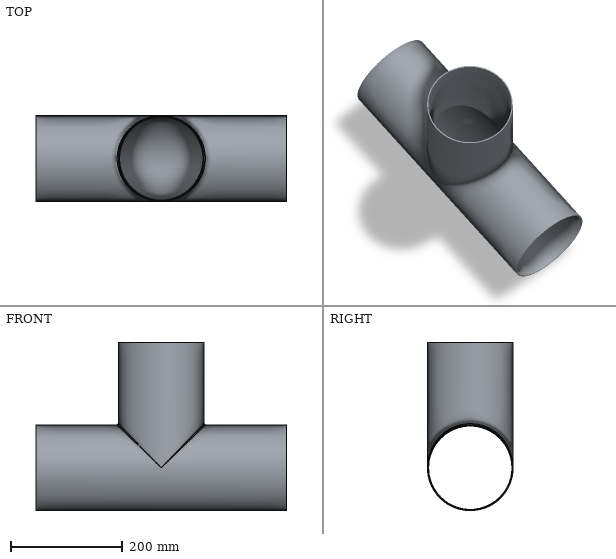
import cadquery as cq
import math

run_length = 450.0
outer_diameter = 154.0
inner_diameter = 150.0
branch_height = 225.0
weld_leg = 2.2

outer_radius = outer_diameter / 2


def run_cylinder(diameter):
    """Cylinder along X, centred on the origin."""
    return cq.Workplane("YZ").circle(diameter / 2).extrude(run_length / 2, both=True)


def branch_cylinder(diameter):
    """Cylinder along Z, from the run axis up to the branch end."""
    return cq.Workplane("XY").circle(diameter / 2).extrude(branch_height)


def tee(diameter):
    """Run and branch joined as one solid."""
    return run_cylinder(diameter).union(branch_cylinder(diameter))


def weld(side):
    """Half-elliptic wedge along one mitre; only its 45 degree bevelled rim shows.

    The weld tapers to nothing where the two mitres meet. Side is 1 for +X, -1 for -X.
    """
    mitre_plane = cq.Plane(origin=(0, 0, 0), xDir=(side, 0, 1), normal=(side, 0, -1))
    rim_reach = (2 * outer_radius + weld_leg) / math.sqrt(2)
    slab = (
        cq.Workplane(mitre_plane)
        .ellipse(rim_reach, outer_radius)
        .extrude(outer_radius, both=True)
    )
    far_end = outer_radius + 2 * weld_leg
    near_end = outer_radius - weld_leg
    wedge = (
        cq.Workplane("XZ")
        .polyline([(0, 0), (side * far_end, near_end), (side * near_end, far_end)])
        .close()
        .extrude(outer_diameter, both=True)
    )
    return slab.intersect(wedge)


body = tee(outer_diameter)
for side in (-1, 1):
    body = body.union(weld(side))

result = body.cut(tee(inner_diameter))